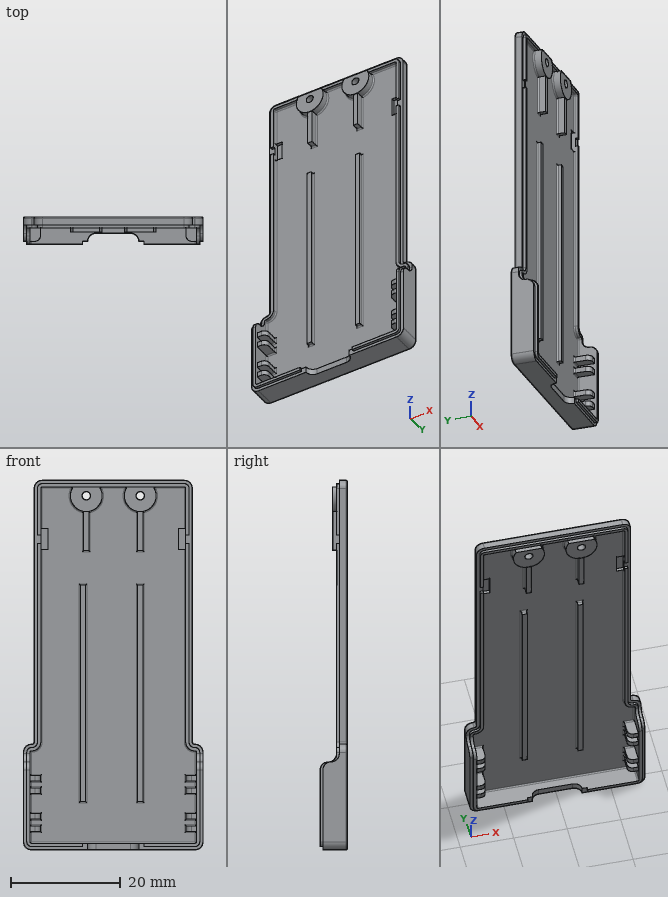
import cadquery as cq
length = 67.3
base_width = 32.7
neck_width = 28.8
shoulder_z = 19.25
outer_radius = 1.5
neck_radius = 0.4
back_fillet = 0.3

wall = 1.2
lip_inset = 0.6
floor_depth = 1.2
lip_height = 0.505
full_depth = 5.0
deep_depth = full_depth - lip_height
shallow_depth = 1.5
floor_fillet = 0.235

drop_z = 16.0
drop_convex_radius = 1.5
drop_concave_radius = deep_depth - shallow_depth - drop_convex_radius

opening_half_width = 4.65
opening_radius = 1.5
opening_depth = deep_depth - opening_radius
lip_gap_width = 11.2

latch_z = 56.6
lip_notch_length = 1.55
recess_length = 3.8
recess_width = 1.35
recess_depth = 0.6

boss_x = 4.9
boss_z = 64.5
boss_diameter = 5.8
boss_top = 2.75
screw_hole_diameter = 1.5
rib_width = 0.95
short_rib_top = 2.7
short_rib_end_z = 54.5

long_rib_xs = (-5.5, boss_x)
long_rib_bottom_z = 8.8
long_rib_top_z = 48.2
long_rib_top = 2.0

clip_thickness = 1.0
clip_length = 1.9
clip_radius = 1.0
clip_top = 4.45
clip_pair_zs = (5.0, 11.9)
clip_pitch = 2.2


def prism(inset, depth):
    """Bottle-shaped prism from the back face, moved inward by inset."""
    half_base = base_width / 2 - inset
    half_neck = neck_width / 2 - inset
    shoulder = shoulder_z - inset
    right_side = [
        (half_base, inset),
        (half_base, shoulder),
        (half_neck, shoulder),
        (half_neck, length - inset),
    ]
    left_side = [(-x, z) for x, z in reversed(right_side)]
    body = cq.Workplane("XZ").polyline(right_side + left_side).close().extrude(depth)

    for x, z in right_side + left_side:
        is_neck_corner = abs(x) == half_neck and z == shoulder
        radius = neck_radius + inset if is_neck_corner else outer_radius - inset
        corner = cq.selectors.NearestToPointSelector((x, -depth / 2, z))
        body = body.edges(corner).fillet(radius)
    return body


def side_profile(rise):
    """Region below the S-shaped rim, with the rim raised by rise."""
    deep = -(deep_depth + rise)
    shallow = -(shallow_depth + rise)
    middle = deep + drop_convex_radius
    return (
        cq.Workplane("YZ")
        .moveTo(0, 0)
        .lineTo(deep, 0)
        .lineTo(deep, drop_z - drop_convex_radius)
        .radiusArc((middle, drop_z), drop_convex_radius)
        .radiusArc((shallow, drop_z + drop_concave_radius), -drop_concave_radius)
        .lineTo(shallow, length)
        .lineTo(0, length)
        .close()
        .extrude(base_width / 2, both=True)
    )


def floor_plane(x, z):
    return cq.Workplane("XZ", origin=(x, -floor_depth, z))


def floor_block(x, z, width, height, top):
    return floor_plane(x, z).rect(width, height).extrude(top - floor_depth)


def boss(x):
    """Round post, cut flush with the inside of the upper end wall."""
    post = floor_plane(x, boss_z).circle(boss_diameter / 2).extrude(boss_top - floor_depth)
    beyond_z = length - wall + boss_diameter / 2
    beyond_wall = floor_block(x, beyond_z, 2 * boss_diameter, boss_diameter, full_depth)
    return post.cut(beyond_wall)


def vertical_rib(x, bottom_z, top_z, top):
    return floor_block(x, (bottom_z + top_z) / 2, rib_width, top_z - bottom_z, top)


def clip(side, z):
    """Block reaching inward from a side wall, with its tip rounded on the open side."""
    x = side * (base_width / 2 - wall - clip_length / 2)
    block = floor_block(x, z, clip_length, clip_thickness, clip_top)
    tip_side = "<X" if side > 0 else ">X"
    return block.edges(f"{tip_side} and |Z").edges("<Y").fillet(clip_radius)


def outer_body():
    outside = prism(0, deep_depth).faces(">Y").edges().fillet(back_fillet)
    walls = outside.intersect(side_profile(0))
    lip = prism(lip_inset, full_depth).intersect(side_profile(lip_height))
    return walls.union(lip)


def floor_features():
    """Bosses, ribs and clip blocks standing on the floor."""
    features = []
    for x in (-boss_x, boss_x):
        features.append(boss(x))
        features.append(vertical_rib(x, short_rib_end_z, boss_z, short_rib_top))
    for x in long_rib_xs:
        features.append(vertical_rib(x, long_rib_bottom_z, long_rib_top_z, long_rib_top))
    for side in (-1, 1):
        for pair_z in clip_pair_zs:
            for offset in (-clip_pitch / 2, clip_pitch / 2):
                features.append(clip(side, pair_z + offset))
    combined = features[0]
    for feature in features[1:]:
        combined = combined.union(feature)
    return combined


def cavity(features):
    """Inside space around the floor features, filleted along the floor."""
    space = prism(wall, full_depth).cut(prism(0, floor_depth)).cut(features)
    return space.faces(">Y").edges().fillet(floor_fillet)


def bottom_opening():
    flat_half = opening_half_width - opening_radius
    opening = (
        cq.Workplane("XY")
        .moveTo(-opening_half_width, -full_depth)
        .lineTo(-opening_half_width, -deep_depth)
        .radiusArc((-flat_half, -opening_depth), opening_radius)
        .lineTo(flat_half, -opening_depth)
        .radiusArc((opening_half_width, -deep_depth), opening_radius)
        .lineTo(opening_half_width, -full_depth)
        .close()
        .extrude(wall)
    )
    lip_gap = (
        cq.Workplane("XY", origin=(0, -deep_depth - lip_height / 2, wall / 2))
        .box(lip_gap_width, lip_height, wall)
    )
    return opening.union(lip_gap)


def latch(side):
    """Lip notch and the floor recess next to it on one side wall."""
    inner_x = neck_width / 2 - wall
    recess_x = side * (inner_x - recess_width / 2)
    recess = (
        cq.Workplane("XZ", origin=(recess_x, recess_depth - floor_depth, latch_z))
        .rect(recess_width, recess_length)
        .extrude(floor_fillet + recess_depth)
    )
    notch = (
        cq.Workplane("XZ", origin=(side * (inner_x + wall / 2), -shallow_depth, latch_z))
        .rect(wall, lip_notch_length)
        .extrude(lip_height)
    )
    return recess.union(notch)


def screw_hole(x):
    return (
        cq.Workplane("XZ", origin=(x, 0, boss_z))
        .circle(screw_hole_diameter / 2)
        .extrude(boss_top)
    )


features = floor_features()
result = outer_body().union(features).cut(cavity(features)).cut(bottom_opening())

for side in (-1, 1):
    result = result.cut(latch(side))

for x in (-boss_x, boss_x):
    result = result.cut(screw_hole(x))